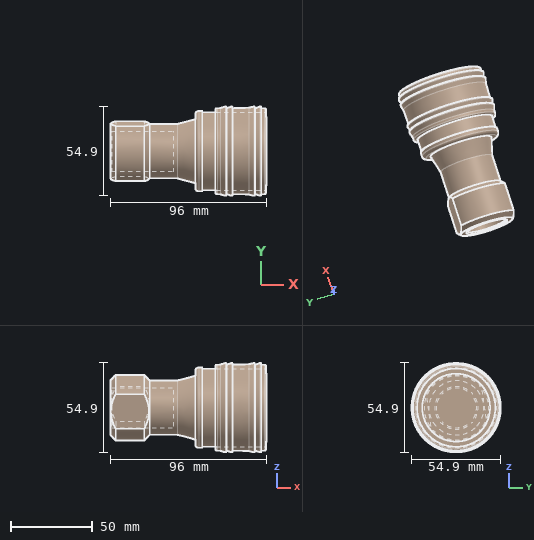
import cadquery as cq
import math

total_length = 96.0

nut_diameter = 40.3
nut_length = 24.0
nut_chamfer_length = 3.2
flat_distance = 34.2
flat_tilt = 8.0

neck_diameter = 33.5
neck_end = 41.1
cone_end_diameter = 39.4

collar_start = 52.0
collar_end = 56.4
collar_diameter = 49.3
collar_fillet = 2.0
barrel_diameter = 48.0

nose_diameter = 41.7
nose_length = 0.6

bore_diameter = 24.5
bore_depth = 38.4
bore_mouth_diameter = 26.3

sleeve_start = 64.3
sleeve_end = total_length - nose_length
sleeve_diameter = 52.9
sleeve_fillet = 1.1
band_end_diameter = 53.4
first_pair_start = 67.2
second_pair_start = 84.8
rib_diameter = 54.9
rib_rounding = 0.6
first_rib_width = 3.8
second_rib_width = 3.6
rib_gap = 0.3


def revolve_about_x(profile):
    return profile.close().revolve(360, (0, 0, 0), (1, 0, 0))


def make_body_blank():
    neck_radius = neck_diameter / 2
    nut_radius = nut_diameter / 2
    return revolve_about_x(
        cq.Workplane("XY")
        .moveTo(0, 0)
        .lineTo(0, neck_radius)
        .lineTo(nut_chamfer_length, nut_radius)
        .lineTo(nut_length - nut_chamfer_length, nut_radius)
        .lineTo(nut_length, neck_radius)
        .lineTo(neck_end, neck_radius)
        .lineTo(collar_start, cone_end_diameter / 2)
        .lineTo(collar_start, collar_diameter / 2 - collar_fillet)
        .radiusArc((collar_start + collar_fillet, collar_diameter / 2), collar_fillet)
        .lineTo(collar_end, collar_diameter / 2)
        .lineTo(collar_end, barrel_diameter / 2)
        .lineTo(sleeve_end, barrel_diameter / 2)
        .lineTo(sleeve_end, nose_diameter / 2)
        .lineTo(total_length, nose_diameter / 2)
        .lineTo(total_length, 0)
    )


def make_wrench_flat_cutter():
    """Two slabs outside the flats, on the +Y and -Y sides of the nut."""
    slabs = (
        cq.Workplane("XY")
        .box(nut_length, 2 * nut_diameter, nut_diameter, centered=(False, True, True))
        .cut(
            cq.Workplane("XY")
            .box(nut_length, flat_distance, nut_diameter, centered=(False, True, True))
        )
    )
    return slabs.rotate((0, 0, 0), (1, 0, 0), flat_tilt)


def make_bore():
    bore_radius = bore_diameter / 2
    mouth_radius = bore_mouth_diameter / 2
    return revolve_about_x(
        cq.Workplane("XY")
        .moveTo(0, 0)
        .lineTo(0, mouth_radius)
        .lineTo(mouth_radius - bore_radius, bore_radius)
        .lineTo(bore_depth, bore_radius)
        .lineTo(bore_depth, 0)
    )


def make_body():
    return make_body_blank().cut(make_wrench_flat_cutter()).cut(make_bore())


def add_rib(profile, foot, rib_end):
    """Draw a rib: a straight slope up from its foot point, a rounded crest and a steep drop."""
    foot_x, foot_radius = foot
    crest_x = rib_end - rib_rounding
    crest_radius = rib_diameter / 2 - rib_rounding
    run = crest_x - foot_x
    rise = crest_radius - foot_radius
    slope = math.atan2(rise, run) + math.asin(rib_rounding / math.hypot(run, rise))
    slope_end = (
        crest_x - rib_rounding * math.sin(slope),
        crest_radius + rib_rounding * math.cos(slope),
    )
    return (
        profile
        .lineTo(*foot)
        .lineTo(*slope_end)
        .threePointArc((crest_x, rib_diameter / 2), (rib_end, crest_radius))
        .lineTo(rib_end, sleeve_diameter / 2)
    )


def make_sleeve():
    bore_radius = barrel_diameter / 2
    sleeve_radius = sleeve_diameter / 2
    profile = (
        cq.Workplane("XY")
        .moveTo(sleeve_start, bore_radius)
        .lineTo(sleeve_start, sleeve_radius - sleeve_fillet)
        .radiusArc((sleeve_start + sleeve_fillet, sleeve_radius), sleeve_fillet)
    )
    pair_feet = [
        (first_pair_start, sleeve_radius),
        (second_pair_start, band_end_diameter / 2),
    ]
    for pair_foot in pair_feet:
        first_rib_end = pair_foot[0] + first_rib_width
        second_rib_start = first_rib_end + rib_gap
        profile = add_rib(profile, pair_foot, first_rib_end)
        profile = add_rib(
            profile, (second_rib_start, sleeve_radius), second_rib_start + second_rib_width
        )
    return revolve_about_x(
        profile
        .lineTo(sleeve_end - sleeve_fillet, sleeve_radius)
        .radiusArc((sleeve_end, sleeve_radius - sleeve_fillet), sleeve_fillet)
        .lineTo(sleeve_end, bore_radius)
    )


body = make_body()
sleeve = make_sleeve()
result = cq.Compound.makeCompound([body.val(), sleeve.val()])